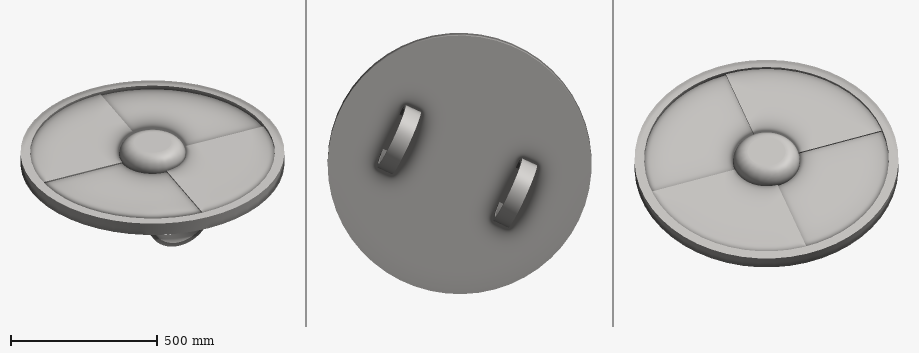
import cadquery as cq

disc_diameter = 902.0
disc_thickness = 46.0
recess_diameter = 836.0
high_floor_depth = 10.0
floor_step = 5.0
low_floor_depth = high_floor_depth + floor_step

knob_diameter = 228.0
knob_flat_diameter = 130.0
knob_top = 86.0
shoulder_radius = (knob_diameter - knob_flat_diameter) / 2

hoop_outer_diameter = 234.0
hoop_inner_diameter = 206.0
hoop_drop = 196.0
hoop_width = 57.0
hoop_center_y = -6.0
hoop_starts_x = (-261.0, 178.0)


def make_disc():
    """Rimmed disc whose recessed floor alternates between two heights by quadrant."""
    disc = cq.Workplane("XY").circle(disc_diameter / 2).extrude(disc_thickness)
    recess = (
        cq.Workplane("XY", origin=(0, 0, disc_thickness - low_floor_depth))
        .circle(recess_diameter / 2)
        .extrude(low_floor_depth)
    )
    disc = disc.cut(recess)
    for side in (1, -1):
        quadrant = (
            cq.Workplane("XY", origin=(0, 0, disc_thickness - low_floor_depth))
            .rect(side * disc_diameter / 2, side * disc_diameter / 2, centered=False)
            .extrude(floor_step)
        )
        step = (
            cq.Workplane("XY", origin=(0, 0, disc_thickness - low_floor_depth))
            .circle(recess_diameter / 2)
            .extrude(floor_step)
            .intersect(quadrant)
        )
        disc = disc.union(step)
    return disc


def make_knob():
    """Round knob with a flat top and a quarter-round shoulder, rooted in the disc."""
    root_z = disc_thickness / 2
    return (
        cq.Workplane("XY", origin=(0, 0, root_z))
        .circle(knob_diameter / 2)
        .extrude(knob_top - root_z)
        .faces(">Z")
        .edges()
        .fillet(shoulder_radius)
    )


def make_hoop(start_x):
    """Flat band bent into a hoop and cut off at the disc underside."""
    center_z = hoop_outer_diameter / 2 - hoop_drop
    hoop = (
        cq.Workplane("YZ", origin=(start_x, hoop_center_y, center_z))
        .circle(hoop_outer_diameter / 2)
        .circle(hoop_inner_diameter / 2)
        .extrude(hoop_width)
    )
    above_underside = cq.Workplane("XY").rect(disc_diameter, disc_diameter).extrude(hoop_outer_diameter)
    return hoop.cut(above_underside)


result = make_disc().union(make_knob())
for hoop_start_x in hoop_starts_x:
    result = result.union(make_hoop(hoop_start_x))